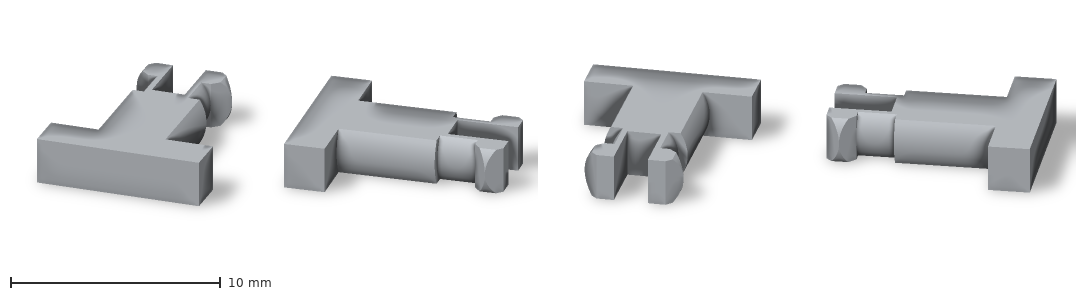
import cadquery as cq

length = 10.2
thickness = 2.27
bar_width = 8.2
bar_depth = 2.02

shank_radius = 2.04
neck_radius = 1.59
neck_length = 1.88
head_length = 1.44
barb_reach = 2.42
head_end_half = 1.68
barb_round_radius = 1.66

slot_width = 1.66
slot_depth = 3.01

head_start = length - head_length
neck_start = head_start - neck_length
barb_y = length - head_length / 2


def flattened_rod(radius, y_start, y_end):
    """Round rod along Y with flats at the top and bottom of the part."""
    rod_length = y_end - y_start
    rod = cq.Workplane("XZ", origin=(0, y_start, 0)).circle(radius).extrude(-rod_length)
    flats = cq.Workplane("XY").box(2 * radius, length, thickness).translate((0, length / 2, 0))
    return rod.intersect(flats)


def barbed_head():
    """Head with pointed sides, each rounded across the thickness."""
    wedge = (
        cq.Workplane("XY", origin=(0, 0, -thickness / 2))
        .polyline([
            (-neck_radius, head_start),
            (neck_radius, head_start),
            (barb_reach, barb_y),
            (head_end_half, length),
            (-head_end_half, length),
            (-barb_reach, barb_y),
        ])
        .close()
        .extrude(thickness)
    )
    round_envelope = (
        cq.Workplane("XZ", origin=(0, head_start, 0))
        .slot2D(2 * barb_reach, 2 * barb_round_radius)
        .extrude(-head_length)
    )
    return wedge.intersect(round_envelope)


bar = cq.Workplane("XY").box(bar_width, bar_depth, thickness).translate((0, bar_depth / 2, 0))
shank = flattened_rod(shank_radius, bar_depth, neck_start)
neck = flattened_rod(neck_radius, neck_start, head_start)
slot = (
    cq.Workplane("XY")
    .box(slot_width, slot_depth, thickness)
    .translate((0, length - slot_depth / 2, 0))
)

result = bar.union(shank).union(neck).union(barbed_head()).cut(slot)